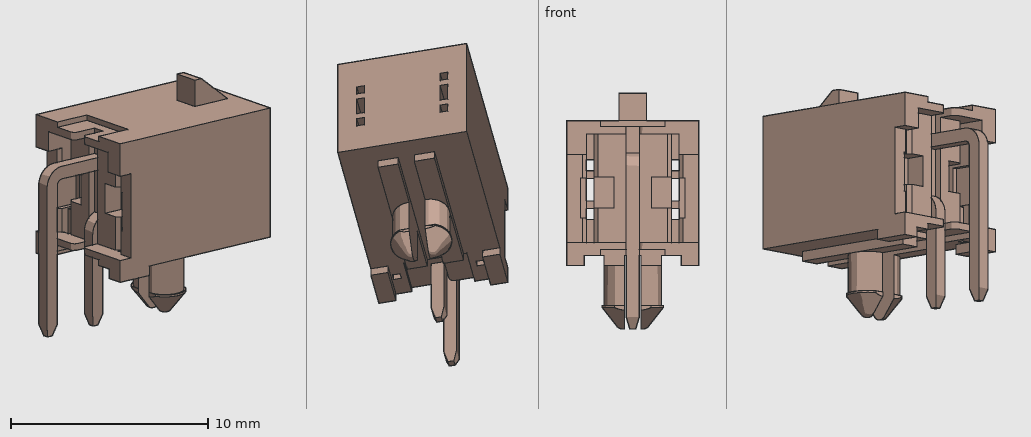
import cadquery as cq


overall_length = 12.22

width = 6.7
depth = 9.9
floor_z = 0.5
top_z = 7.35
overhang = 0.71
ledge_z = 1.16
roof_edge_z = 5.62
ceiling_z = 6.66

cavity_half_width = 2.36
cavity_depth = 3.67
block_half_width = 1.97
block_front = 0.99
edge_chamfer = 0.2
pocket_half_span = 0.95
pocket_z = (2.92, 4.5)
pocket_back = 2.04
notch_half_span = 2.64
notch_z = (2.42, 4.45)
sill_front = 1.3
sill_top = 2.33
window_z_ranges = ((sill_top, 2.88), (3.27, 4.41), (4.81, 5.35))

recess_half_width = 1.64
recess_length = 1.93
roof_recess = 0.28
floor_recess = 0.3
slot_end = 1.36
slot_corner_radius = 0.27

latch_width = 1.42
latch_top = 8.74
latch_front = 7.1
latch_flat_end = 7.54
latch_back = 9.26

foot_inner_x = 2.46
standoff_inner_x = 0.42
standoff_outer_x = 1.47
standoff_back = 8.92
peg_y = 5.3
peg_radius = 0.99
peg_lip = 0.1
barb_top_z = -2.03
barb_lip_height = 0.1
barb_tip_radius = 0.22
barb_tip_round = 0.34
tip_z = -3.23

pin_size = 0.67
bend_radius = 0.99
pin_taper_z = -2.62
pin_tip_size = 0.3
outer_pin_front = depth - overall_length
outer_pin_top = 5.72
inner_pin_front = slot_end - pin_size
inner_pin_top = 2.68
pin_embed = 0.73


def box(x_range, y_range, z_range):
    size = [b - a for a, b in (x_range, y_range, z_range)]
    return cq.Workplane("XY").box(*size, centered=False).translate((x_range[0], y_range[0], z_range[0]))


def centered_box(half_width, y_range, z_range):
    return box((-half_width, half_width), y_range, z_range)


def both_sides(solid):
    return solid.union(solid.mirror("YZ"))


def make_central_block():
    block = centered_box(block_half_width, (block_front, cavity_depth), (ledge_z, ceiling_z))
    block = block.edges("|Z and <Y").chamfer(edge_chamfer)
    pocket = box((pocket_half_span, block_half_width), (block_front, pocket_back), pocket_z)
    return block.cut(both_sides(pocket))


def make_side_wall_cuts():
    """Flare at the mouth of the cavity, with a deeper notch at mid height."""
    flare = (
        cq.Workplane("XY", origin=(0, 0, ledge_z))
        .moveTo(cavity_half_width, overhang)
        .line(edge_chamfer, 0)
        .line(-edge_chamfer, edge_chamfer)
        .close()
        .extrude(roof_edge_z - ledge_z)
    )
    notch = box((cavity_half_width, notch_half_span), (overhang, pocket_back), notch_z)
    return both_sides(flare.union(notch))


def make_pin_slot():
    """Slot through roof, block and floor, with a rounded entry."""
    half = pin_size / 2
    radius = slot_corner_radius
    return (
        cq.Workplane("XY", origin=(0, 0, floor_z))
        .moveTo(-half, slot_end)
        .lineTo(-half, radius)
        .radiusArc((-half - radius, 0), radius)
        .lineTo(half + radius, 0)
        .radiusArc((half, radius), radius)
        .lineTo(half, slot_end)
        .close()
        .extrude(top_z - floor_z)
    )


def make_housing():
    """Shell with the front cavity, its central block, rear windows and openings for the pins."""
    half = width / 2
    side_channel = (block_half_width, cavity_half_width)
    body = centered_box(half, (0, depth), (floor_z, top_z))
    body = body.cut(centered_box(half, (0, overhang), (ledge_z, roof_edge_z)))
    body = body.cut(centered_box(cavity_half_width, (0, cavity_depth), (ledge_z, ceiling_z)))
    body = body.cut(make_side_wall_cuts()).union(make_central_block())
    for z_range in window_z_ranges:
        window = box(side_channel, (cavity_depth, depth), z_range)
        body = body.cut(both_sides(window))
    sill = box(side_channel, (sill_front, cavity_depth), (ledge_z, sill_top))
    floor_gap = box(side_channel, (block_front, sill_front), (floor_z, ledge_z))
    body = body.union(both_sides(sill)).cut(both_sides(floor_gap))
    for z_range in ((top_z - roof_recess, top_z), (floor_z, floor_z + floor_recess)):
        body = body.cut(centered_box(recess_half_width, (0, recess_length), z_range))
    return body.cut(make_pin_slot())


def make_latch():
    return (
        cq.Workplane("YZ")
        .moveTo(latch_front, top_z)
        .lineTo(latch_front, latch_top)
        .lineTo(latch_flat_end, latch_top)
        .lineTo(latch_back, top_z)
        .close()
        .extrude(latch_width / 2, both=True)
    )


def make_supports():
    feet = box((foot_inner_x, width / 2), (0, recess_length), (0, floor_z))
    standoff = box((standoff_inner_x, standoff_outer_x), (recess_length, standoff_back), (0, floor_z))
    return both_sides(feet).union(both_sides(standoff))


def make_split_peg():
    """Two round prongs cut at the slit, with blunt conical barbs as wide as the peg along Y."""
    barb_radius = peg_radius + peg_lip
    prong = (
        cq.Workplane("XZ")
        .moveTo(0, 0)
        .lineTo(peg_radius, 0)
        .lineTo(peg_radius, barb_top_z)
        .lineTo(barb_radius, barb_top_z)
        .lineTo(barb_radius, barb_top_z - barb_lip_height)
        .lineTo(barb_tip_radius, tip_z)
        .lineTo(0, tip_z)
        .close()
        .revolve(360, (0, 0, 0), (0, 1, 0))
        .faces("<Z")
        .edges()
        .fillet(barb_tip_round)
        .translate((standoff_outer_x - peg_radius, peg_y, 0))
    )
    envelope = box(
        (standoff_inner_x, standoff_outer_x + peg_lip),
        (peg_y - peg_radius, peg_y + peg_radius),
        (tip_z, 0),
    )
    return both_sides(prong.intersect(envelope))


def make_pin(front_y, top):
    """Right-angle pin of square section with a tapered tip."""
    inner_radius = bend_radius - pin_size
    back_y = slot_end + pin_embed
    bar = (
        cq.Workplane("YZ")
        .moveTo(front_y, pin_taper_z)
        .lineTo(front_y, top - bend_radius)
        .radiusArc((front_y + bend_radius, top), bend_radius)
        .lineTo(back_y, top)
        .lineTo(back_y, top - pin_size)
        .lineTo(front_y + bend_radius, top - pin_size)
        .radiusArc((front_y + pin_size, top - bend_radius), -inner_radius)
        .lineTo(front_y + pin_size, pin_taper_z)
        .close()
        .extrude(pin_size / 2, both=True)
    )
    tip = (
        cq.Workplane("XY", origin=(0, front_y + pin_size / 2, pin_taper_z))
        .rect(pin_size, pin_size)
        .workplane(offset=tip_z - pin_taper_z)
        .rect(pin_tip_size, pin_tip_size)
        .loft()
    )
    return bar.union(tip)


result = (
    make_housing()
    .union(make_latch())
    .union(make_supports())
    .union(make_split_peg())
    .union(make_pin(outer_pin_front, outer_pin_top))
    .union(make_pin(inner_pin_front, inner_pin_top))
)